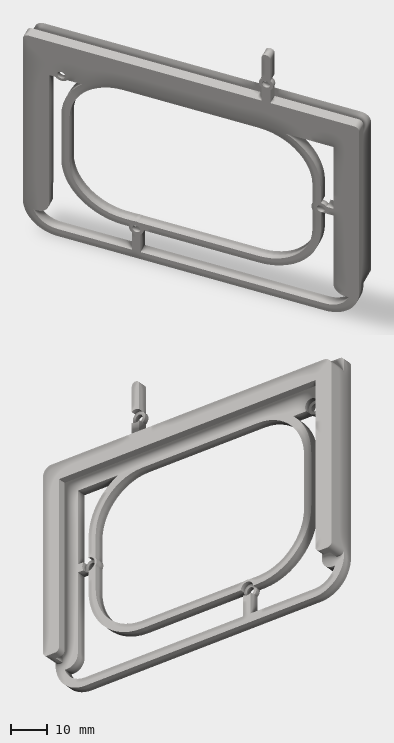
import cadquery as cq


width = 98.1
plate_height = 72.1
plate_depth = 3.0
top_corner_radius = 1.5
bottom_corner_radius = 10.0
rail_width = 2.6
leg_width = 7.6
leg_end_z = 7.5
leg_end_radius = 3.5
left_header_z = 59.4
right_header_z = 62.2

window_width = 70.8
window_bottom_z = 13.5
window_top_z = 61.6
window_radius = 15.7
ring_width = 2.5

total_depth = 8.6
channel_top_z = 69.4
channel_end_z = 9.9
channel_corner_radius = 2.7
channel_end_radius = 1.5
lip_width = 5.5
groove_wall = 2.5
groove_back_y = 6.2

hole_diameter = 2.4
eye_diameter = 4.2
eye_depth = 1.5
bulge_radius = 2.7
stem_width = 2.55
tab_x = 21.9
tab_top_z = 89.5
tab_hole_z = 78.7
tab_tip_radius = 1.2
lower_eye_x = -16.0
lower_eye_z = 10.9
side_eye_x = window_width / 2 + ring_width
side_eye_z = 37.8
header_eye_z = 60.7

half_width = width / 2
leg_inner_x = half_width - leg_width


def box(x_min, x_max, z_min, z_max, y_min=0.0, y_max=plate_depth):
    size = (x_max - x_min, y_max - y_min, z_max - z_min)
    return cq.Workplane("XY").box(*size, centered=False).translate((x_min, y_min, z_min))


def disc(x, z, radius, y_min=0.0, y_max=plate_depth):
    plane = cq.Workplane("XZ", origin=(x, y_min, z))
    return plane.circle(radius).extrude(y_min - y_max)


def rounded_window(offset):
    """Solid filling the window outline grown outward by the given offset."""
    half = window_width / 2 + offset
    block = box(-half, half, window_bottom_z - offset, window_top_z + offset)
    return block.edges("|Y").fillet(window_radius + offset)


def plate_frame():
    """Header, two legs and the thin lower rail."""
    outline = box(-half_width, half_width, 0, plate_height)
    outline = outline.edges("|Y and >Z").fillet(top_corner_radius)
    outline = outline.edges("|Y and <Z").fillet(bottom_corner_radius)

    rail_inner_x = half_width - rail_width
    opening = box(-rail_inner_x, rail_inner_x, rail_width, right_header_z)
    opening = opening.edges("|Y and <Z").fillet(bottom_corner_radius - rail_width)
    opening = opening.cut(box(-half_width, 0, left_header_z, plate_height))

    right_leg = box(leg_inner_x, half_width, leg_end_z, plate_height)
    right_leg = right_leg.edges("|Y and <X and <Z").fillet(leg_end_radius)
    opening = opening.cut(right_leg).cut(right_leg.mirror("YZ"))
    return outline.cut(opening)


def top_tab():
    half = stem_width / 2
    tab = box(tab_x - half, tab_x + half, plate_height - top_corner_radius, tab_top_z)
    return tab.edges("|Y and >Z").fillet(tab_tip_radius)


def lower_stem():
    half = stem_width / 2
    return box(lower_eye_x - half, lower_eye_x + half, rail_width / 2, lower_eye_z)


def side_stem():
    half = stem_width / 2
    leg_overlap_x = leg_inner_x + leg_width / 2
    return box(side_eye_x, leg_overlap_x, side_eye_z - half, side_eye_z + half)


def ring_bulges():
    """Thickening of the window ring around the two eyes that sit on it."""
    bulges = disc(side_eye_x, side_eye_z, bulge_radius).union(disc(lower_eye_x, lower_eye_z, bulge_radius))
    return bulges.intersect(rounded_window(ring_width))


def side_eye_boss():
    """The side eye is rounded above its stem only; below, it ends flush with the stem."""
    radius = eye_diameter / 2
    boss = disc(side_eye_x, side_eye_z, radius, 0, eye_depth)
    upper = box(side_eye_x - radius, side_eye_x + radius, side_eye_z, side_eye_z + radius)
    return boss.intersect(upper)


def channel_layer(wall, y_min, y_max):
    """One constant-section layer of the rear frame: a header and two legs as wide as the wall."""
    body = box(-half_width, half_width, channel_end_z, channel_top_z, y_min, y_max)
    body = body.edges("|Y and >Z").fillet(channel_corner_radius)
    inner_x = half_width - wall
    return body.cut(box(-inner_x, inner_x, channel_end_z, channel_top_z - wall, y_min, y_max))


def channel():
    """Rear frame whose inner groove faces the opening and runs out at the leg ends."""
    groove_layer = channel_layer(groove_wall, plate_depth, groove_back_y)
    groove_layer = groove_layer.edges("|Y and <Z").edges("<X or >X").fillet(channel_end_radius)
    lip_layer = channel_layer(lip_width, groove_back_y, total_depth)
    lip_layer = lip_layer.edges("|Y and <Z").fillet(channel_end_radius)
    return groove_layer.union(lip_layer)


side_eye = (side_eye_x, side_eye_z)
full_eyes = [
    (tab_x, tab_hole_z),
    (lower_eye_x, lower_eye_z),
    (-side_eye_x, header_eye_z),
]

plate = plate_frame().union(rounded_window(ring_width)).cut(rounded_window(0))
plate = plate.union(top_tab()).union(lower_stem()).union(side_stem()).union(ring_bulges())

for x, z in full_eyes:
    plate = plate.union(disc(x, z, eye_diameter / 2, 0, eye_depth))
plate = plate.union(side_eye_boss())

for x, z in full_eyes + [side_eye]:
    plate = plate.cut(disc(x, z, eye_diameter / 2, eye_depth, plate_depth))
    plate = plate.cut(disc(x, z, hole_diameter / 2))

result = plate.union(channel())